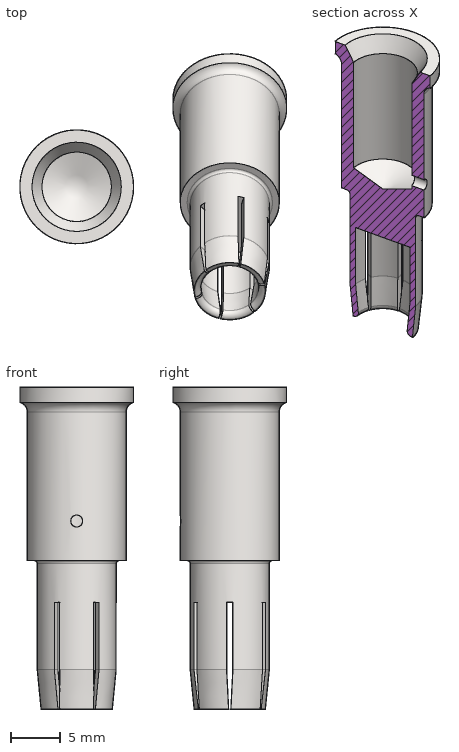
import math

import cadquery as cq

total_height = 32.5
taper_height = 4.0
shoulder_z = 15.0
flange_thickness = 1.5
flange_bottom_z = total_height - flange_thickness

flange_radius = 11.5 / 2
body_radius = 10.0 / 2
spigot_radius = 8.0 / 2
tip_radius = 7.2 / 2
flange_fillet = 1.0
shoulder_fillet = 0.3

mouth_radius = 9.0 / 2
upper_bore_radius = 7.0 / 2
mouth_half_angle = math.radians(30)
mouth_depth = (mouth_radius - upper_bore_radius) / math.tan(mouth_half_angle)
upper_bore_floor_z = 18.0
drill_half_angle = math.radians(70)
drill_tip_z = upper_bore_floor_z - upper_bore_radius / math.tan(drill_half_angle)

spigot_bore_radius = 6.5 / 2
spigot_bore_top_z = 10.8
tip_inset = spigot_radius - tip_radius
tip_bore_radius = spigot_bore_radius - tip_inset
tip_bore_fillet = 0.6

slot_count = 6
slot_width = 0.6
slot_top_z = spigot_bore_top_z
slot_tip_width = 0.2

inspection_hole_diameter = 1.2
inspection_hole_z = 19.0


def revolve_about_z(profile):
    """Turn a closed profile, drawn as radius and height, about the Z axis."""
    return profile.close().revolve(360, (0, 0, 0), (0, 1, 0))


def make_outer_body():
    diagonal = math.sqrt(0.5)

    shoulder_center_r = spigot_radius + shoulder_fillet
    shoulder_center_z = shoulder_z - shoulder_fillet
    shoulder_mid = (
        shoulder_center_r - shoulder_fillet * diagonal,
        shoulder_center_z + shoulder_fillet * diagonal,
    )

    rim_center_r = body_radius + flange_fillet
    rim_center_z = flange_bottom_z - flange_fillet
    rim_end_z = rim_center_z + math.sqrt(flange_fillet**2 - (rim_center_r - flange_radius) ** 2)
    rim_mid = (
        rim_center_r - flange_fillet * diagonal,
        rim_center_z + flange_fillet * diagonal,
    )

    profile = (
        cq.Workplane("XZ")
        .moveTo(0, 0)
        .lineTo(tip_radius, 0)
        .lineTo(spigot_radius, taper_height)
        .lineTo(spigot_radius, shoulder_center_z)
        .threePointArc(shoulder_mid, (shoulder_center_r, shoulder_z))
        .lineTo(body_radius, shoulder_z)
        .lineTo(body_radius, rim_center_z)
        .threePointArc(rim_mid, (flange_radius, rim_end_z))
        .lineTo(flange_radius, total_height)
        .lineTo(0, total_height)
    )
    return revolve_about_z(profile)


def make_upper_bore():
    profile = (
        cq.Workplane("XZ")
        .moveTo(0, drill_tip_z)
        .lineTo(upper_bore_radius, upper_bore_floor_z)
        .lineTo(upper_bore_radius, total_height - mouth_depth)
        .lineTo(mouth_radius, total_height)
        .lineTo(0, total_height)
    )
    return revolve_about_z(profile)


def make_spigot_bore():
    profile = (
        cq.Workplane("XZ")
        .moveTo(0, 0)
        .lineTo(tip_bore_radius, 0)
        .lineTo(spigot_bore_radius, taper_height)
        .lineTo(spigot_bore_radius, spigot_bore_top_z)
        .lineTo(0, spigot_bore_top_z)
    )
    return revolve_about_z(profile)


def make_slot(angle):
    """Cutter for one slot, running from the axis out past the spigot wall."""
    return (
        cq.Workplane("YZ")
        .moveTo(-slot_tip_width / 2, 0)
        .lineTo(slot_tip_width / 2, 0)
        .lineTo(slot_width / 2, taper_height)
        .lineTo(slot_width / 2, slot_top_z)
        .lineTo(-slot_width / 2, slot_top_z)
        .lineTo(-slot_width / 2, taper_height)
        .close()
        .extrude(body_radius)
        .rotate((0, 0, 0), (0, 0, 1), angle)
    )


def make_inspection_hole():
    """Cutter running from the axis out through the -Y wall."""
    return (
        cq.Workplane("XZ")
        .center(0, inspection_hole_z)
        .circle(inspection_hole_diameter / 2)
        .extrude(flange_radius)
    )


def round_tip_bore(body):
    """Round the inner edge of the ring at the lower end, the smaller of its two circles."""
    return body.faces("<Z").edges(cq.selectors.RadiusNthSelector(0)).fillet(tip_bore_fillet)


bored_body = make_outer_body().cut(make_upper_bore()).cut(make_spigot_bore())
result = round_tip_bore(bored_body).cut(make_inspection_hole())
for index in range(slot_count):
    result = result.cut(make_slot(index * 360 / slot_count))